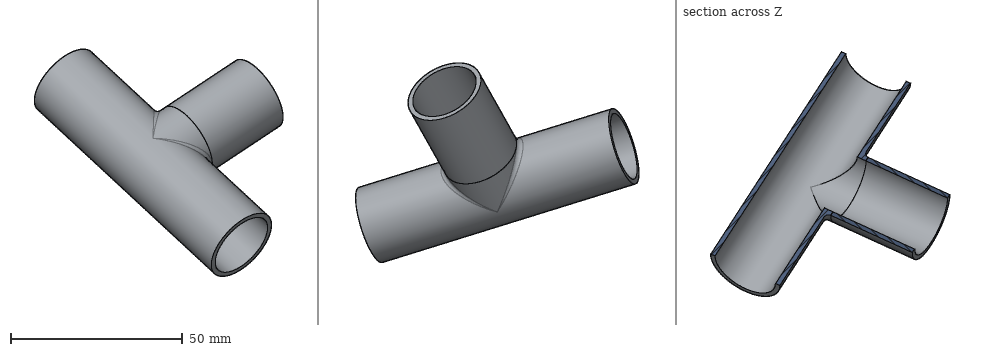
import cadquery as cq
import math

run_length = 80.0
outer_diameter = 23.0
bore_diameter = 20.0
branch_reach = 40.0
fillet_radius = 1.4
seam_tolerance = 0.001

outer_radius = outer_diameter / 2
ball_distance = outer_radius + fillet_radius
joint_y = ball_distance


def run_cylinder(diameter):
    """Cylinder along X, centred on the origin."""
    return cq.Workplane("YZ").circle(diameter / 2).extrude(run_length / 2, both=True)


def branch_cylinder(diameter, start_y, end_y):
    """Cylinder along +Y between two distances from the run axis."""
    plane = cq.Workplane("XZ", origin=(0, start_y, 0))
    return plane.circle(diameter / 2).extrude(start_y - end_y)


def vertical_prism(points):
    """Prism along Z, taller than the pipes, over an outline in XY."""
    return cq.Workplane("XY").polyline(points).close().extrude(outer_diameter, both=True)


def ball_path():
    """Ellipse in the plane x = y that the centre of the fillet's rolling ball follows."""
    miter_plane = cq.Plane(origin=(0, 0, 0), xDir=(1, 1, 0), normal=(1, -1, 0))
    return cq.Workplane(miter_plane).ellipse(ball_distance * math.sqrt(2), ball_distance)


def make_crotch_wedge():
    """Solid sector between run and outlet on the +X side, with the fillet as its outer face.

    The fillet meets each pipe along an ellipse in a plane through the Z axis;
    those two planes are the flat sides of the sector.
    """
    far_long = 2 * ball_distance
    far_short = 2 * outer_radius
    sector = vertical_prism([(0, 0), (far_long, far_short), (far_short, far_long)])
    inside_path = ball_path().extrude(ball_distance, both=True)
    ball_start = cq.Plane(origin=(ball_distance, ball_distance, 0), xDir=(1, -1, 0), normal=(0, 0, 1))
    ball_sweep = cq.Workplane(ball_start).circle(fillet_radius).sweep(ball_path())
    pieces = sector.intersect(inside_path).cut(ball_sweep).solids().vals()
    return cq.Workplane(max(pieces, key=lambda piece: piece.Volume()))


def make_tee():
    """Run pipe with a short filleted outlet, bored through in both directions."""
    half_length = run_length / 2
    run_side_y = half_length * outer_radius / ball_distance
    run = run_cylinder(outer_diameter).intersect(vertical_prism([
        (0, 0),
        (half_length, run_side_y),
        (half_length, -outer_diameter),
        (-half_length, -outer_diameter),
        (-half_length, run_side_y),
    ]))
    outlet_half_width = joint_y * outer_radius / ball_distance
    outlet = branch_cylinder(outer_diameter, 0, joint_y).intersect(vertical_prism([
        (0, 0),
        (outlet_half_width, joint_y),
        (-outlet_half_width, joint_y),
    ]))
    wedge = make_crotch_wedge()
    outer = run
    for section in (wedge, wedge.mirror("YZ"), outlet):
        outer = outer.union(section, tol=seam_tolerance)
    return outer.cut(run_cylinder(bore_diameter)).cut(branch_cylinder(bore_diameter, 0, joint_y))


def make_branch_pipe():
    """Straight tube that continues the outlet to its open end."""
    outer = branch_cylinder(outer_diameter, joint_y, branch_reach)
    return outer.cut(branch_cylinder(bore_diameter, joint_y, branch_reach))


tee = make_tee()
branch_pipe = make_branch_pipe()
result = cq.Compound.makeCompound([tee.solids().val(), branch_pipe.solids().val()])